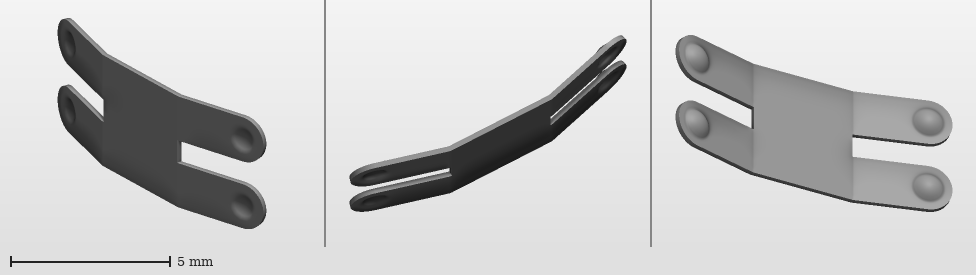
import cadquery as cq
import math

length = 9.85
height = 3.96
thickness = 0.17

arm_width = 1.58
bend_angle = 15.0
flat_half = 1.76
inner_bend_radius = 0.18

rim_radius = 0.56
dome_edge_radius = 0.35
dimple_depth = 0.22

end_radius = arm_width / 2
arm_z = height / 2 - end_radius
bend = math.radians(bend_angle)
outer_bend_radius = inner_bend_radius + thickness
bend_end_x = flat_half + outer_bend_radius * math.sin(bend)
bend_end_y = outer_bend_radius * (1 - math.cos(bend))

axis_x = length / 2 - end_radius * math.cos(bend)
axis_y = bend_end_y + (axis_x - bend_end_x) * math.tan(bend)

wall_angle = 2 * math.atan(dimple_depth / rim_radius)
dome_radius = dome_edge_radius / math.sin(wall_angle)
flare_radius = (rim_radius - dome_edge_radius) / math.sin(wall_angle)


def bend_point(radius, angle):
    """Point on the right-hand bend, measured round its centre."""
    return (flat_half + radius * math.sin(angle), outer_bend_radius - radius * math.cos(angle))


def make_center_strip():
    """Flat web with the two bends on either side of it, over the full height."""
    half = (
        cq.Workplane("XY")
        .moveTo(0, 0)
        .lineTo(flat_half, 0)
        .threePointArc(bend_point(outer_bend_radius, bend / 2), bend_point(outer_bend_radius, bend))
        .lineTo(*bend_point(inner_bend_radius, bend))
        .threePointArc(bend_point(inner_bend_radius, bend / 2), (flat_half, thickness))
        .lineTo(0, thickness)
        .close()
        .extrude(height / 2, both=True)
    )
    strip = half.union(half.mirror("YZ"))
    gap = height - 2 * arm_width
    notch = (
        cq.Workplane("XY")
        .box(length / 2, length, gap, centered=(False, True, True))
        .translate((flat_half, 0, 0))
    )
    return strip.cut(notch).cut(notch.mirror("YZ"))


def arm_plane(z):
    """Front face of the right arm at the dimple; local Y is the dimple axis."""
    return cq.Plane(
        origin=(axis_x, axis_y, z),
        xDir=(math.cos(bend), math.sin(bend), 0),
        normal=(0, 0, 1),
    )


def make_dimple_wall(plane):
    """Revolved wall of constant thickness, filling the opening up to the rim."""
    dome_y = dimple_depth - dome_radius
    back_flare_radius = flare_radius - thickness

    def flare_point(radius, angle):
        return (rim_radius - radius * math.sin(angle), flare_radius - radius * math.cos(angle))

    def dome_point(radius, angle):
        return (radius * math.sin(angle), dome_y + radius * math.cos(angle))

    back_radius = dome_radius + thickness
    return (
        cq.Workplane(plane)
        .moveTo(*flare_point(flare_radius, 0))
        .threePointArc(
            flare_point(flare_radius, wall_angle / 2), flare_point(flare_radius, wall_angle)
        )
        .threePointArc(dome_point(dome_radius, wall_angle / 2), dome_point(dome_radius, 0))
        .lineTo(*dome_point(back_radius, 0))
        .threePointArc(dome_point(back_radius, wall_angle / 2), dome_point(back_radius, wall_angle))
        .threePointArc(
            flare_point(back_flare_radius, wall_angle / 2), flare_point(back_flare_radius, 0)
        )
        .close()
        .revolve(360, (0, 0), (0, 1))
    )


def make_right_arm(z):
    """Round-ended arm with its dimple."""
    plane = arm_plane(z)
    arm_length = (axis_x - bend_end_x) / math.cos(bend)
    straight = (
        cq.Workplane(plane)
        .box(arm_length, thickness, arm_width, centered=(False, False, True))
        .translate(plane.xDir * -arm_length)
    )
    face_plane = cq.Plane(origin=plane.origin, xDir=plane.xDir, normal=plane.yDir)
    rounded_end = cq.Workplane(face_plane).circle(end_radius).extrude(thickness)
    opening = cq.Workplane(face_plane).circle(rim_radius).extrude(thickness)
    return straight.union(rounded_end).cut(opening).union(make_dimple_wall(plane))


result = make_center_strip()
for z in (-arm_z, arm_z):
    arm = make_right_arm(z)
    result = result.union(arm).union(arm.mirror("YZ"))